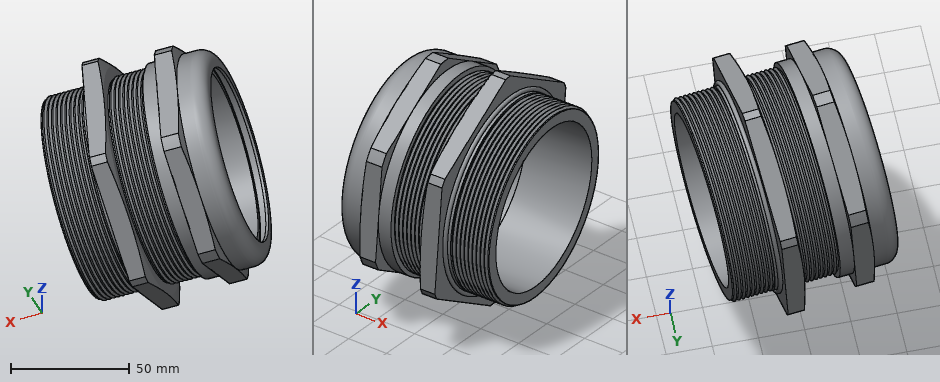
import cadquery as cq
import math


ROLL = -0.9
PITCH = 3.3
YAW = 5.0

LIP_THICKNESS = 1.2
SLEEVE_START = 4.8
CAP_HEX_START = 12.1
CAP_HEX_END = 21.0
CAP_END = 27.2
SLEEVE_END = 41.1
BODY_HEX_START = 43.8
BODY_HEX_END = 52.3
REAR_THREAD_START = 55.4
BODY_END = 74.0

CAP_DIAMETER = 94.9
RIM_DIAMETER = 82.5
LIP_BORE = 76.8
CAVITY_DIAMETER = 84.0
CAP_HEX_FLATS = CAP_DIAMETER
CAP_HEX_CORNERS = 106.2
RIM_RADIUS = (CAP_DIAMETER - RIM_DIAMETER) / 2

SLEEVE_DIAMETER = 81.7
SLEEVE_BORE = 77.0

BODY_BORE = 77.1
BODY_HEX_FLATS = 100.0
BODY_HEX_CORNERS = 113.3
FRONT_ROOT_DIAMETER = 89.5
REAR_ROOT_DIAMETER = 88.0
REAR_CREST_DIAMETER = 89.9
THREAD_PITCH = 2.0
THREAD_DEPTH = (REAR_CREST_DIAMETER - REAR_ROOT_DIAMETER) / 2

NECK_DIAMETER = REAR_CREST_DIAMETER
O_RING_SECTION = 2.0

HEX_CHAMFER_ANGLE = 11.0


def turned(profile):
    """Revolve a closed (station, radius) profile about the X axis."""
    return profile.close().revolve(360, (0, 0, 0), (1, 0, 0))


def tube(start, end, outer_diameter, inner_diameter):
    ring = cq.Workplane("YZ").workplane(offset=start).circle(outer_diameter / 2).circle(inner_diameter / 2)
    return ring.extrude(end - start)


def hexagon(start, end, flats, corners):
    """Hexagon with rounded-off corners and a conical chamfer on its front face."""
    prism = (
        cq.Workplane("YZ")
        .workplane(offset=start)
        .polygon(6, flats / math.cos(math.pi / 6))
        .extrude(end - start)
        .rotate((0, 0, 0), (1, 0, 0), 90)
    )
    chamfer_depth = (corners - flats) / 2 * math.tan(math.radians(HEX_CHAMFER_ANGLE))
    blank = turned(
        cq.Workplane("XY")
        .moveTo(start, 0)
        .lineTo(start, flats / 2)
        .lineTo(start + chamfer_depth, corners / 2)
        .lineTo(end, corners / 2)
        .lineTo(end, 0)
    )
    return prism.intersect(blank)


def thread(start, end, root_diameter):
    """Parallel V ridges on a solid core, with a plain stretch where less than one pitch is left."""
    root = root_diameter / 2
    pitches = math.floor((end - start) / THREAD_PITCH)
    profile = cq.Workplane("XY").moveTo(start, 0).lineTo(start, root)
    for index in range(pitches):
        ridge_start = start + index * THREAD_PITCH
        profile = profile.lineTo(ridge_start + THREAD_PITCH / 2, root + THREAD_DEPTH)
        profile = profile.lineTo(ridge_start + THREAD_PITCH, root)
    return turned(profile.lineTo(end, root).lineTo(end, 0))


def make_cap():
    shell = turned(
        cq.Workplane("XY")
        .moveTo(0, 0)
        .lineTo(0, RIM_DIAMETER / 2)
        .radiusArc((RIM_RADIUS, CAP_DIAMETER / 2), RIM_RADIUS)
        .lineTo(CAP_END, CAP_DIAMETER / 2)
        .lineTo(CAP_END, 0)
    )
    hex_grip = hexagon(CAP_HEX_START, CAP_HEX_END, CAP_HEX_FLATS, CAP_HEX_CORNERS)
    bore = turned(
        cq.Workplane("XY")
        .moveTo(0, 0)
        .lineTo(0, LIP_BORE / 2)
        .lineTo(LIP_THICKNESS, LIP_BORE / 2)
        .lineTo(LIP_THICKNESS, CAVITY_DIAMETER / 2)
        .lineTo(SLEEVE_START, CAVITY_DIAMETER / 2)
        .lineTo(SLEEVE_START, FRONT_ROOT_DIAMETER / 2)
        .lineTo(CAP_END, FRONT_ROOT_DIAMETER / 2)
        .lineTo(CAP_END, 0)
    )
    return shell.union(hex_grip).cut(bore)


def make_sleeve():
    return tube(SLEEVE_START, SLEEVE_END, SLEEVE_DIAMETER, SLEEVE_BORE)


def make_body():
    spigot = tube(SLEEVE_START, CAP_END, FRONT_ROOT_DIAMETER, SLEEVE_DIAMETER)
    front_thread = thread(CAP_END, BODY_HEX_START, FRONT_ROOT_DIAMETER)
    hex_flange = hexagon(BODY_HEX_START, BODY_HEX_END, BODY_HEX_FLATS, BODY_HEX_CORNERS)
    neck = tube(BODY_HEX_END, REAR_THREAD_START, NECK_DIAMETER, BODY_BORE)
    rear_thread = thread(REAR_THREAD_START, BODY_END, REAR_ROOT_DIAMETER)
    body = spigot.union(front_thread).union(hex_flange).union(neck).union(rear_thread)
    sleeve_seat = tube(SLEEVE_START, SLEEVE_END, SLEEVE_DIAMETER, BODY_BORE)
    bore = cq.Workplane("YZ").circle(BODY_BORE / 2).extrude(BODY_END)
    return body.cut(sleeve_seat).cut(bore)


def make_o_ring():
    section_radius = O_RING_SECTION / 2
    section = cq.Workplane("XY").center(BODY_HEX_END + section_radius, NECK_DIAMETER / 2 + section_radius)
    return section.circle(section_radius).revolve(
        360, (-BODY_HEX_END, -NECK_DIAMETER / 2 - section_radius, 0), (1.1, -NECK_DIAMETER / 2 - section_radius, 0)
    )


def tilted(part):
    origin = (0, 0, 0)
    return part.rotate(origin, (1, 0, 0), ROLL).rotate(origin, (0, 1, 0), PITCH).rotate(origin, (0, 0, 1), YAW)


cap = tilted(make_cap())
sleeve = tilted(make_sleeve())
body = tilted(make_body())
o_ring = tilted(make_o_ring())

result = cq.Compound.makeCompound([cap.val(), sleeve.val(), body.val(), o_ring.val()])